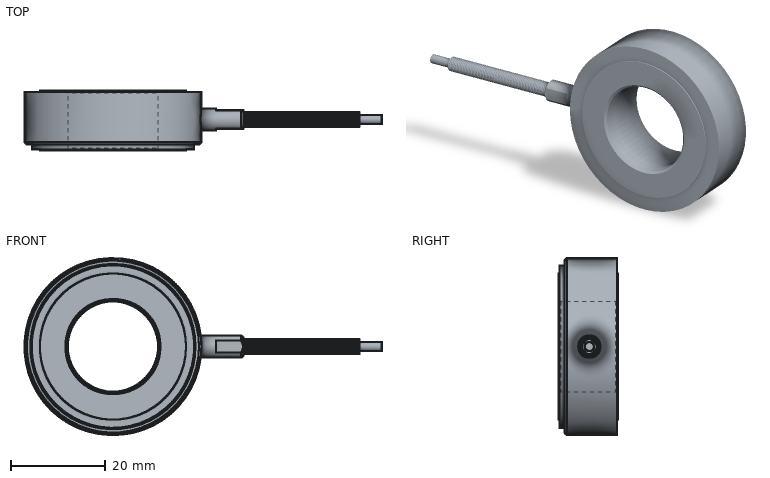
import cadquery as cq

body_diameter = 37.55
bore_diameter = 19.2
pad_diameter = 31.0
disc_diameter = 34.5
groove_diameter = 35.05
body_width = 11.15
disc_height = 1.1
pad_height = 0.2
groove_depth = 0.5
edge_chamfer = 0.5
total_width = pad_height + body_width + disc_height + pad_height

body_radius = body_diameter / 2
overall_length = 75.9
lead_end = overall_length - body_radius
lead_root = (body_radius + bore_diameter / 2) / 2
lead_setback = 0.2
fitting_diameter = 4.7
fitting_flats = 3.95
fitting_end = 27.7
fitting_chamfer = 0.45
flats_start = 21.9
hose_start = 27.55
hose_end = 52.35
hose_crest_diameter = 3.2
hose_root_diameter = 2.8
hose_ridges = 65
cable_diameter = 2.0

front_pad = -total_width / 2
front_disc = front_pad + pad_height
front_rim = front_disc + disc_height
back_rim = front_rim + body_width
back_pad = back_rim + pad_height


def make_ring():
    bore_radius = bore_diameter / 2
    pad_radius = pad_diameter / 2
    disc_radius = disc_diameter / 2
    groove_radius = groove_diameter / 2
    groove_floor = front_rim + groove_depth
    half_section = [
        (bore_radius, front_pad + edge_chamfer),
        (bore_radius + edge_chamfer, front_pad),
        (pad_radius, front_pad),
        (pad_radius, front_disc),
        (disc_radius, front_disc),
        (disc_radius, groove_floor),
        (groove_radius, groove_floor),
        (groove_radius, front_rim),
        (body_radius - edge_chamfer, front_rim),
        (body_radius, front_rim + edge_chamfer),
        (body_radius, back_rim),
        (pad_radius, back_rim),
        (pad_radius, back_pad),
        (bore_radius + edge_chamfer, back_pad),
        (bore_radius, back_pad - edge_chamfer),
    ]
    return cq.Workplane("XY").polyline(half_section).close().revolve(360, (0, 0), (0, 1))


def lead_rod(diameter, start, end):
    return cq.Workplane("YZ", origin=(start, lead_setback, 0)).circle(diameter / 2).extrude(end - start)


def make_fitting():
    fitting = lead_rod(fitting_diameter, lead_root, fitting_end)
    fitting = fitting.faces(">X").chamfer(fitting_chamfer)
    flats_length = fitting_end - flats_start
    flat_cut_depth = (fitting_diameter - fitting_flats) / 2
    for side in (-1, 1):
        cut_centre = side * (fitting_flats + flat_cut_depth) / 2
        flat_cut = cq.Workplane("XY").box(flats_length, flat_cut_depth, fitting_diameter).translate(
            ((flats_start + fitting_end) / 2, lead_setback + cut_centre, 0)
        )
        fitting = fitting.cut(flat_cut)
    return fitting


def make_hose():
    """Armoured hose with a row of round-topped ridges meeting in sharp valleys."""
    pitch = (hose_end - hose_start) / hose_ridges
    crest = hose_crest_diameter / 2
    root = hose_root_diameter / 2
    outline = cq.Workplane("XY").moveTo(lead_root, 0).lineTo(lead_root, root).lineTo(hose_start, root)
    for ridge in range(hose_ridges):
        valley = hose_start + ridge * pitch
        outline = outline.threePointArc((valley + pitch / 2, crest), (valley + pitch, root))
    hose = outline.lineTo(hose_end, 0).close().revolve(360, (0, 0), (1, 0))
    return hose.translate((0, lead_setback, 0))


cable = lead_rod(cable_diameter, lead_root, lead_end)
result = make_ring().union(make_fitting()).union(make_hose()).union(cable)